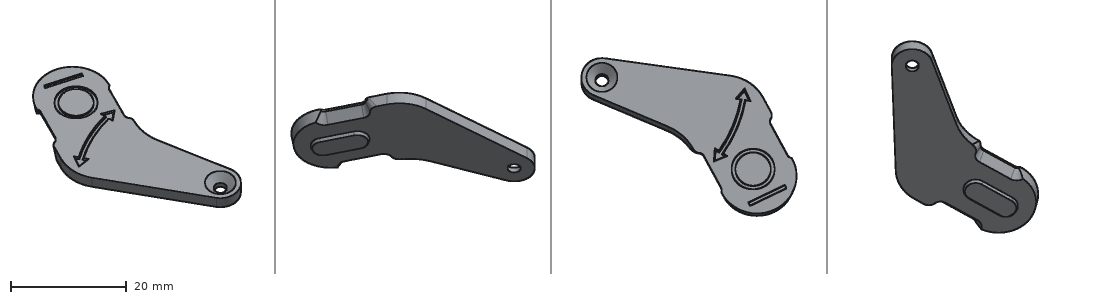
import cadquery as cq
import math

plate_thickness = 2.4

head_radius = 6.85
head_bottom_radius = 6.48

elbow_x = 12.37
elbow_radius = 7.53
eye_x, eye_y = 28.35, 15.6
eye_radius = 3.55
eye_hole_radius = 1.12
countersink_radius = 2.68
countersink_depth = 1.35

blend_x = 9.3
blend_radius = 9.3

neck_start_x, neck_end_x = 1.0, 7.5
neck_half_width = 6.48
rim_height = 0.45
rim_start_x, rim_end_x = 0.2, blend_x
undercut_half_width = 5.2
undercut_start_x, undercut_end_x = -0.78, 10.55
notch_reach = 9.7

engraving_depth = 0.3
ring_x = 1.47
ring_outer_radius = 3.72
ring_inner_radius = 3.05
slot_x = -3.95
slot_width = 0.65
slot_length = 7.05

arrow_radius = 24.75
arrow_middle_angle = 221.2
arrow_half_angle = 17.0
arrow_head_angle = 5.0
arrow_shaft_half_width = 0.45
arrow_head_half_width = 1.3
arrow_floor_inset = 0.2

boss_x = 1.65
boss_length = 10.47
boss_width = 4.25
boss_height = 0.65
boss_inset = 0.27


def polar(center, radius, degrees):
    """Point at a radius and direction from a center."""
    angle = math.radians(degrees)
    return (center[0] + radius * math.cos(angle), center[1] + radius * math.sin(angle))


def make_arm():
    """Elbow and arm, with straight sides tangent to the elbow, blend and eye."""
    eye = (eye_x, eye_y)
    elbow = (elbow_x, 0)
    blend = (blend_x, elbow_radius + blend_radius)

    def direction_and_distance(start):
        dx, dy = eye_x - start[0], eye_y - start[1]
        return math.degrees(math.atan2(dy, dx)), math.hypot(dx, dy)

    direction, distance = direction_and_distance(elbow)
    lower_angle = direction + math.degrees(math.asin((elbow_radius - eye_radius) / distance))
    direction, distance = direction_and_distance(blend)
    upper_angle = direction + math.degrees(math.asin((blend_radius + eye_radius) / distance))

    return (
        cq.Workplane("XY", origin=(0, 0, -plate_thickness))
        .moveTo(0, -neck_half_width)
        .lineTo(neck_end_x, -neck_half_width)
        .lineTo(neck_end_x, -elbow_radius)
        .lineTo(elbow_x, -elbow_radius)
        .threePointArc(
            polar(elbow, elbow_radius, (lower_angle - 180) / 2),
            polar(elbow, elbow_radius, lower_angle - 90),
        )
        .lineTo(*polar(eye, eye_radius, lower_angle - 90))
        .threePointArc(
            polar(eye, eye_radius, (lower_angle + upper_angle) / 2),
            polar(eye, eye_radius, upper_angle + 90),
        )
        .lineTo(*polar(blend, blend_radius, upper_angle - 90))
        .threePointArc(
            polar(blend, blend_radius, upper_angle / 2 - 90),
            (blend_x, elbow_radius),
        )
        .lineTo(neck_end_x, elbow_radius)
        .lineTo(neck_end_x, neck_half_width)
        .lineTo(0, neck_half_width)
        .close()
        .extrude(plate_thickness)
    )


def make_head():
    return (
        cq.Workplane("XY", origin=(0, 0, -plate_thickness))
        .circle(head_bottom_radius)
        .workplane(offset=plate_thickness)
        .circle(head_radius)
        .loft()
    )


def arc_radius(start, end):
    """Radius of an arc that runs along X at one of its two ends."""
    run, rise = abs(end[0] - start[0]), abs(end[1] - start[1])
    return (run**2 + rise**2) / (2 * rise)


def notch_outline(height, start_x, end_x, half_width, head_y):
    """Notch on the +Y side, open outwards: a hollow arc at the head, an S-curve at the elbow."""
    neck_start = (neck_start_x, half_width)
    neck_end = (neck_end_x, half_width)
    elbow_end = (end_x, elbow_radius)
    head_end = (start_x, head_y)
    s_middle = ((neck_end_x + end_x) / 2, (half_width + elbow_radius) / 2)
    s_radius = arc_radius(neck_end, s_middle)
    return (
        cq.Workplane("XY", origin=(0, 0, height))
        .moveTo(*neck_start)
        .lineTo(*neck_end)
        .radiusArc(s_middle, -s_radius)
        .radiusArc(elbow_end, s_radius)
        .lineTo(end_x, notch_reach)
        .lineTo(start_x, notch_reach)
        .lineTo(*head_end)
        .radiusArc(neck_start, -arc_radius(head_end, neck_start))
        .close()
    )


def make_notch():
    rim = notch_outline(
        -rim_height, rim_start_x, rim_end_x, neck_half_width, head_radius,
    )
    undercut = notch_outline(
        -plate_thickness, undercut_start_x, undercut_end_x, undercut_half_width, head_bottom_radius,
    )
    flare = cq.Solid.makeLoft([undercut.val(), rim.val()], True)
    return rim.extrude(rim_height).union(cq.Workplane(flare))


def cut_eye_hole(body):
    return (
        body.cut(
            cq.Workplane("XY").center(eye_x, eye_y).circle(eye_hole_radius).extrude(-plate_thickness)
        )
        .cut(
            cq.Workplane("XY").center(eye_x, eye_y).circle(countersink_radius)
            .workplane(offset=-countersink_depth).circle(eye_hole_radius).loft()
        )
    )


def make_ring_groove():
    return (
        cq.Workplane("XY").center(ring_x, 0)
        .circle(ring_outer_radius).circle(ring_inner_radius).extrude(-engraving_depth)
    )


def make_slot():
    return cq.Workplane("XY").center(slot_x, 0).rect(slot_width, slot_length).extrude(-engraving_depth)


def arrow_outline(height, inset):
    """Arrow outline at a height, with every edge moved inwards by the inset."""
    def at(offset, angle):
        return polar((eye_x, eye_y), arrow_radius + offset, arrow_middle_angle + angle)

    head_length = arrow_radius * math.radians(arrow_head_angle)
    point_angle = math.atan(arrow_head_half_width / head_length)
    tip_pull = inset / math.sin(point_angle)
    tip_angle = arrow_half_angle - math.degrees(tip_pull / arrow_radius)
    back_angle = arrow_half_angle - arrow_head_angle + math.degrees(inset / arrow_radius)
    barb = (head_length - tip_pull - inset) * math.tan(point_angle)
    shaft = arrow_shaft_half_width - inset
    return (
        cq.Workplane("XY", origin=(0, 0, height))
        .moveTo(*at(0, -tip_angle))
        .lineTo(*at(barb, -back_angle))
        .lineTo(*at(shaft, -back_angle))
        .threePointArc(at(shaft, 0), at(shaft, back_angle))
        .lineTo(*at(barb, back_angle))
        .lineTo(*at(0, tip_angle))
        .lineTo(*at(-barb, back_angle))
        .lineTo(*at(-shaft, back_angle))
        .threePointArc(at(-shaft, 0), at(-shaft, -back_angle))
        .lineTo(*at(-barb, -back_angle))
        .close()
        .val()
    )


def make_arrow():
    top = arrow_outline(0, 0)
    floor = arrow_outline(-engraving_depth, arrow_floor_inset)
    return cq.Workplane(cq.Solid.makeLoft([floor, top], True))


def make_boss():
    boss_draft = math.degrees(math.atan(boss_inset / boss_height))
    return (
        cq.Workplane("XY", origin=(boss_x, 0, -plate_thickness))
        .slot2D(boss_length, boss_width)
        .extrude(-boss_height, taper=boss_draft)
    )


notch = make_notch()
plate = make_arm().union(make_head()).cut(notch).cut(notch.mirror("XZ"))
plate = cut_eye_hole(plate).cut(make_ring_groove()).cut(make_slot()).cut(make_arrow())
result = plate.union(make_boss())